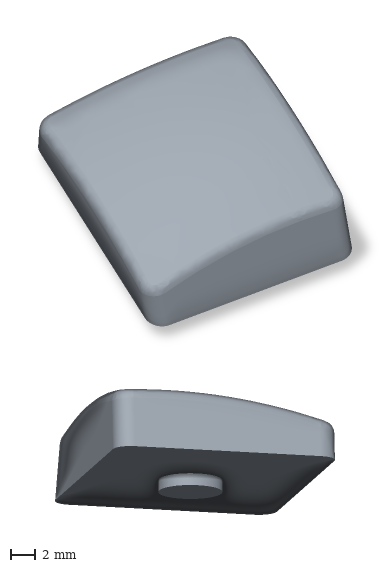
import cadquery as cq
import math

base_width = 22.94
base_depth = 18.88
stem_offset_y = 0.38
body_height = 6.25

left_draft = 5.0
right_draft = 20.0
corner_radius = 1.5

dome_radius = 50.0
dome_apex_x = 0.0
dome_apex_y = 4.6
rim_radius = 1.0

stem_diameter = 5.3
stem_length = 1.0

trim_allowance = 1.0
stock_height = body_height + trim_allowance


def drafted_block():
    """Block with a leaning left and right wall and rounded corner edges."""
    half_width = base_width / 2
    left_lean = stock_height * math.tan(math.radians(left_draft))
    right_lean = stock_height * math.tan(math.radians(right_draft))
    profile = [
        (-half_width, 0),
        (half_width, 0),
        (half_width - right_lean, stock_height),
        (-half_width + left_lean, stock_height),
    ]
    block = (
        cq.Workplane("XZ")
        .polyline(profile)
        .close()
        .extrude(base_depth / 2, both=True)
        .translate((0, -stem_offset_y, 0))
    )
    corner_edges = block.faces("<Y or >Y").edges("not |X")
    return corner_edges.fillet(corner_radius)


def dome():
    """Ball whose upper surface forms the top of the body."""
    centre = (dome_apex_x, dome_apex_y, body_height - dome_radius)
    return cq.Workplane("XY").sphere(dome_radius).translate(centre)


def body():
    """Block trimmed by the dome, with the rim rounded."""
    trimmed = drafted_block().intersect(dome())
    return trimmed.faces("%SPHERE").edges().fillet(rim_radius)


def stem():
    """Round stem reaching down from the base plane."""
    return cq.Workplane("XY").circle(stem_diameter / 2).extrude(-stem_length)


result = body().union(stem())